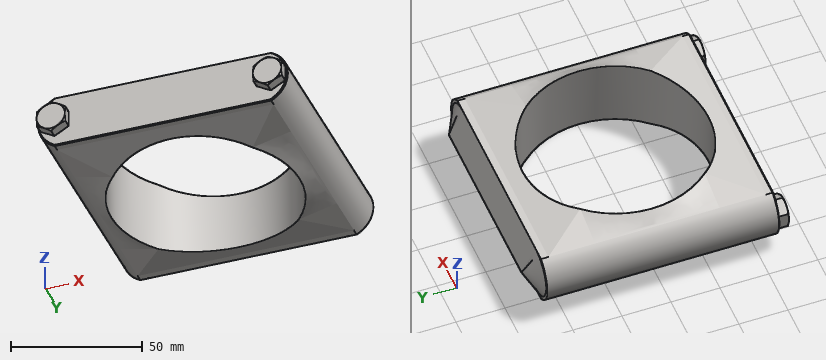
import cadquery as cq
import math

body_width = 101.3
body_depth = 94.9
body_height = 22.2
flat_half_width = 43.8
front_chamfer = 0.4

bore_radius = 38.1
total_height = 29.9
hip_half_depth = 44.5
crest_half_depth = 25.4
pad_inner_x = 21.0

roof_height = 5.8
ridge_half_length = 38.1

bolt_flats = 11.5
bolt_head_height = 4.2
bolt_face_diameter = 11.4
bolt_chamfer_angle = 30.0

half_height = body_height / 2
rear_y = body_depth / 2
hip_rise = total_height / 2 - half_height
crest_half_width = math.sqrt(bore_radius**2 - crest_half_depth**2)


def make_body():
    """Bar with flat top and bottom and shallow arcs at both ends."""
    body = (
        cq.Workplane("XZ", origin=(0, rear_y, 0))
        .moveTo(-flat_half_width, half_height)
        .lineTo(flat_half_width, half_height)
        .threePointArc((body_width / 2, 0), (flat_half_width, -half_height))
        .lineTo(-flat_half_width, -half_height)
        .threePointArc((-body_width / 2, 0), (-flat_half_width, half_height))
        .close()
        .extrude(body_depth)
    )
    return body.faces("<Y").chamfer(front_chamfer)


def make_frustum():
    """Hipped frustum carrying the front, rear and corner slopes."""
    return (
        cq.Workplane("XY", origin=(0, 0, half_height))
        .rect(2 * flat_half_width, 2 * hip_half_depth)
        .workplane(offset=hip_rise)
        .rect(2 * crest_half_width, 2 * crest_half_depth)
        .loft(ruled=True)
    )


def make_side_pad():
    """Ruled slope from the straight side edge up to the level bore arc."""
    return (
        cq.Workplane("XY", origin=(0, 0, half_height))
        .moveTo(pad_inner_x, -crest_half_depth)
        .lineTo(flat_half_width, -crest_half_depth)
        .lineTo(flat_half_width, crest_half_depth)
        .lineTo(pad_inner_x, crest_half_depth)
        .close()
        .workplane(offset=hip_rise)
        .moveTo(pad_inner_x, -crest_half_depth)
        .lineTo(crest_half_width, -crest_half_depth)
        .threePointArc((bore_radius, 0), (crest_half_width, crest_half_depth))
        .lineTo(pad_inner_x, crest_half_depth)
        .close()
        .loft(ruled=True)
    )


def make_roof():
    """Ridge on the rear face, closed by a half cone at each end."""
    roof = (
        cq.Workplane("YZ", origin=(-ridge_half_length, 0, 0))
        .moveTo(rear_y, -half_height)
        .lineTo(rear_y + roof_height, 0)
        .lineTo(rear_y, half_height)
        .close()
        .extrude(2 * ridge_half_length)
    )
    for side in (-1, 1):
        base = cq.Vector(side * ridge_half_length, rear_y, 0)
        cone = cq.Solid.makeCone(half_height, 0, roof_height, base, cq.Vector(0, 1, 0))
        roof = roof.union(cq.Workplane(cone))
    return roof


def make_bolt_head(x):
    """Hexagon head with two upright flats and a conically relieved outer face."""
    head = (
        cq.Workplane("XZ", origin=(x, -rear_y, 0))
        .transformed(rotate=(0, 0, 90))
        .polygon(6, bolt_flats / math.cos(math.pi / 6))
        .extrude(bolt_head_height)
    )
    face_radius = bolt_face_diameter / 2
    base_radius = face_radius + bolt_head_height / math.tan(math.radians(bolt_chamfer_angle))
    cone = cq.Solid.makeCone(
        base_radius, face_radius, bolt_head_height, cq.Vector(x, -rear_y, 0), cq.Vector(0, -1, 0)
    )
    return head.intersect(cq.Workplane(cone))


upper_hips = make_frustum()
side_pad = make_side_pad()
for pad in (side_pad, side_pad.mirror("YZ")):
    upper_hips = upper_hips.union(pad)

result = make_body().union(upper_hips).union(upper_hips.mirror("XY"))
bore = cq.Workplane("XY", origin=(0, 0, -total_height / 2)).circle(bore_radius).extrude(total_height)
result = result.cut(bore)
result = result.union(make_roof())
for bolt_x in (-flat_half_width, flat_half_width):
    result = result.union(make_bolt_head(bolt_x))